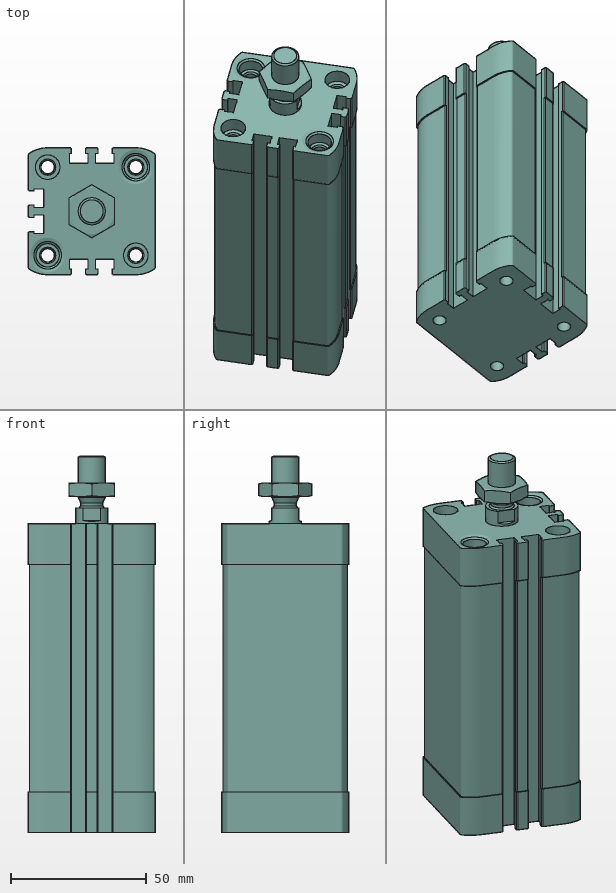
import cadquery as cq
import math


TOTAL_HEIGHT = 139.0
HOUSING_HEIGHT = 114.0
CAP_HEIGHT = 15.0
CAP_WIDTH = 47.0
TUBE_INSET = 0.46

FLAT_HALF_LENGTH = 16.1
CAP_CORNER_RADIUS = 12.5
CORNER_EDGE_RADIUS = 1.0

SLOT_DEPTH = 5.7
LIP_THICKNESS = 2.2
UNDERCUT_OUTER = 8.2
MOUTH_OUTER = 7.5
RIB_STEM_HALF = 1.4
RIB_HEAD_HALF = 2.4
MOUTH_CHAMFER = 0.4

HOLE_PITCH = 32.5
THROUGH_DIAMETER = 4.9
COUNTERSINK_DIAMETER = 6.0
COUNTERBORE_DEPTH = 5.3
PLAIN_BORE_DIAMETER = 9.0
SOCKET_DIAMETER = 8.6
SOCKET_FLARE_DIAMETER = 10.1
SOCKET_MOUTH_DIAMETER = 12.8
SOCKET_MOUTH_DEPTH = 0.4
SOCKET_FLARE_DEPTH = 1.0
FACET_COUNT = 40

ROD_DIAMETER = 12.0
ROD_SEAT_DEPTH = CAP_HEIGHT
SHOULDER_HEIGHT = 5.8
THREAD_DIAMETER = 10.0
NECK_DIAMETER = 8.2
NECK_BASE_DIAMETER = 9.3
NECK_BOTTOM = 6.5
NECK_TOP = 7.6
THREAD_START = 9.7
TIP_DIAMETER = 8.5
TIP_CHAMFER_HEIGHT = 0.4
ROD_ACROSS_FLATS = 10.0
FLAT_BOTTOM = 1.3
FLAT_RUNOUT = 0.8

NUT_BOTTOM = 10.0
NUT_HEIGHT = 5.0
NUT_ACROSS_FLATS = 17.0
NUT_CHAMFER_ANGLE = 15


def envelope(half, height, bottom):
    """Block with its four corners rounded off, without slots."""
    radius = CAP_CORNER_RADIUS - (CAP_WIDTH / 2 - half)
    reach = half - FLAT_HALF_LENGTH
    corner_y = half - radius + math.sqrt(radius**2 - reach**2)
    arc_angle = math.asin(reach / radius) / 2
    mid_x = FLAT_HALF_LENGTH + radius * math.sin(arc_angle)
    mid_y = half - radius + radius * math.cos(arc_angle)
    return (
        cq.Workplane("XY", origin=(0, 0, bottom))
        .moveTo(-FLAT_HALF_LENGTH, half)
        .lineTo(FLAT_HALF_LENGTH, half)
        .threePointArc((mid_x, mid_y), (half, corner_y))
        .lineTo(half, -corner_y)
        .threePointArc((mid_x, -mid_y), (FLAT_HALF_LENGTH, -half))
        .lineTo(-FLAT_HALF_LENGTH, -half)
        .threePointArc((-mid_x, -mid_y), (-half, -corner_y))
        .lineTo(-half, corner_y)
        .threePointArc((-mid_x, mid_y), (-FLAT_HALF_LENGTH, half))
        .close()
        .extrude(height)
        .edges("|Z and (<X or >X)")
        .fillet(CORNER_EDGE_RADIUS)
    )


def slot_pair(half, height, bottom):
    """Cutter for the two slots in the +Y face of a housing section."""
    floor = CAP_WIDTH / 2 - SLOT_DEPTH
    lip = CAP_WIDTH / 2 - LIP_THICKNESS
    points = [
        (RIB_STEM_HALF, floor),
        (UNDERCUT_OUTER, floor),
        (UNDERCUT_OUTER, lip),
        (MOUTH_OUTER, lip),
        (MOUTH_OUTER, half - MOUTH_CHAMFER),
        (MOUTH_OUTER + MOUTH_CHAMFER, half),
        (RIB_HEAD_HALF - MOUTH_CHAMFER, half),
        (RIB_HEAD_HALF, half - MOUTH_CHAMFER),
        (RIB_HEAD_HALF, lip),
        (RIB_STEM_HALF, lip),
    ]
    slot = cq.Workplane("XY", origin=(0, 0, bottom)).polyline(points).close().extrude(height)
    return slot.union(slot.mirror("YZ"))


def housing_section(half, height, bottom):
    """One length of the housing, slotted on the +Y, -X and -Y faces."""
    section = envelope(half, height, bottom)
    slots = slot_pair(half, height, bottom)
    for angle in (0, 90, 180):
        section = section.cut(slots.rotate((0, 0, 0), (0, 0, 1), angle))
    return section


def cylinder(diameter, bottom, top):
    return cq.Workplane("XY", origin=(0, 0, bottom)).circle(diameter / 2).extrude(top - bottom)


def cone(bottom_diameter, top_diameter, bottom, top):
    solid = cq.Solid.makeCone(bottom_diameter / 2, top_diameter / 2, top - bottom, cq.Vector(0, 0, bottom))
    return cq.Workplane(obj=solid)


def faceted_cone(bottom_diameter, top_diameter, bottom, top):
    """Cone or cylinder with many fine flats whose corners lie on the given diameters."""
    return (
        cq.Workplane("XY", origin=(0, 0, bottom))
        .polygon(FACET_COUNT, bottom_diameter)
        .workplane(offset=top - bottom)
        .polygon(FACET_COUNT, top_diameter)
        .loft(ruled=True)
    )


def through_hole():
    """Hole along the whole housing, countersunk at the counterbore floor."""
    floor = HOUSING_HEIGHT - COUNTERBORE_DEPTH
    sink_depth = (COUNTERSINK_DIAMETER - THROUGH_DIAMETER) / 2
    hole = cylinder(THROUGH_DIAMETER, 0, floor)
    return hole.union(cone(THROUGH_DIAMETER, COUNTERSINK_DIAMETER, floor - sink_depth, floor))


def plain_hole():
    return through_hole().union(
        cylinder(PLAIN_BORE_DIAMETER, HOUSING_HEIGHT - COUNTERBORE_DEPTH, HOUSING_HEIGHT)
    )


def socket_hole():
    """Fine-faceted socket with a smooth flare below a faceted, shallow conical mouth."""
    flare = HOUSING_HEIGHT - SOCKET_FLARE_DEPTH
    mouth = HOUSING_HEIGHT - SOCKET_MOUTH_DEPTH
    return (
        through_hole()
        .union(faceted_cone(SOCKET_DIAMETER, SOCKET_DIAMETER, HOUSING_HEIGHT - COUNTERBORE_DEPTH, flare))
        .union(cone(SOCKET_DIAMETER, SOCKET_FLARE_DIAMETER, flare, mouth))
        .union(faceted_cone(SOCKET_FLARE_DIAMETER, SOCKET_MOUTH_DIAMETER, mouth, HOUSING_HEIGHT))
    )


def make_housing():
    cap_half = CAP_WIDTH / 2
    tube_top = HOUSING_HEIGHT - CAP_HEIGHT
    housing = (
        housing_section(cap_half, CAP_HEIGHT, 0)
        .union(housing_section(cap_half - TUBE_INSET, tube_top - CAP_HEIGHT, CAP_HEIGHT))
        .union(housing_section(cap_half, CAP_HEIGHT, tube_top))
    )
    offset = HOLE_PITCH / 2
    for side in (-1, 1):
        housing = housing.cut(socket_hole().translate((side * offset, side * offset, 0)))
        housing = housing.cut(plain_hole().translate((side * offset, -side * offset, 0)))
    return housing.cut(cylinder(ROD_DIAMETER, HOUSING_HEIGHT - ROD_SEAT_DEPTH, HOUSING_HEIGHT))


def flat_cutter():
    """Cutter for the wrench flat on the +Y side of the rod, with a sloping floor."""
    flat = ROD_ACROSS_FLATS / 2
    surface = ROD_DIAMETER / 2
    return (
        cq.Workplane("YZ", origin=(-surface, 0, HOUSING_HEIGHT))
        .moveTo(flat, FLAT_BOTTOM)
        .lineTo(surface, FLAT_RUNOUT)
        .lineTo(surface, SHOULDER_HEIGHT)
        .lineTo(flat, SHOULDER_HEIGHT)
        .close()
        .extrude(ROD_DIAMETER)
    )


def neck():
    """Waisted neck between the shoulder and the thread, fine-faceted at its waist."""
    shoulder = HOUSING_HEIGHT + SHOULDER_HEIGHT
    waist_bottom = HOUSING_HEIGHT + NECK_BOTTOM
    waist_top = HOUSING_HEIGHT + NECK_TOP
    thread_start = HOUSING_HEIGHT + THREAD_START
    return (
        cone(NECK_BASE_DIAMETER, NECK_DIAMETER, shoulder, waist_bottom)
        .union(faceted_cone(NECK_DIAMETER, NECK_DIAMETER, waist_bottom, waist_top))
        .union(cone(NECK_DIAMETER, THREAD_DIAMETER, waist_top, thread_start))
    )


def make_rod():
    shoulder = HOUSING_HEIGHT + SHOULDER_HEIGHT
    thread_start = HOUSING_HEIGHT + THREAD_START
    tip = TOTAL_HEIGHT - TIP_CHAMFER_HEIGHT
    cutter = flat_cutter()
    return (
        cylinder(ROD_DIAMETER, HOUSING_HEIGHT - ROD_SEAT_DEPTH, shoulder)
        .cut(cutter)
        .cut(cutter.mirror("XZ"))
        .union(neck())
        .union(cylinder(THREAD_DIAMETER, thread_start, tip))
        .union(cone(THREAD_DIAMETER, TIP_DIAMETER, tip, TOTAL_HEIGHT))
    )


def make_nut():
    """Hexagon nut with corners on the Y axis, chamfered on both faces."""
    corner_radius = NUT_ACROSS_FLATS / math.sqrt(3)
    flat_radius = NUT_ACROSS_FLATS / 2
    drop = (corner_radius - flat_radius) * math.tan(math.radians(NUT_CHAMFER_ANGLE))
    bottom = HOUSING_HEIGHT + NUT_BOTTOM
    hexagon = (
        cq.Workplane("XY", origin=(0, 0, bottom))
        .transformed(rotate=(0, 0, 90))
        .polygon(6, 2 * corner_radius)
        .extrude(NUT_HEIGHT)
    )
    chamfer_body = (
        cq.Workplane("XZ", origin=(0, 0, bottom))
        .moveTo(0, 0)
        .lineTo(flat_radius, 0)
        .lineTo(corner_radius, drop)
        .lineTo(corner_radius, NUT_HEIGHT - drop)
        .lineTo(flat_radius, NUT_HEIGHT)
        .lineTo(0, NUT_HEIGHT)
        .close()
        .revolve(360, (0, 0, 0), (0, 1, 0))
    )
    bore = cylinder(THREAD_DIAMETER, bottom, bottom + NUT_HEIGHT)
    return hexagon.intersect(chamfer_body).cut(bore)


housing = make_housing()
rod = make_rod()
nut = make_nut()

result = cq.Compound.makeCompound([housing.val(), rod.val(), nut.val()])